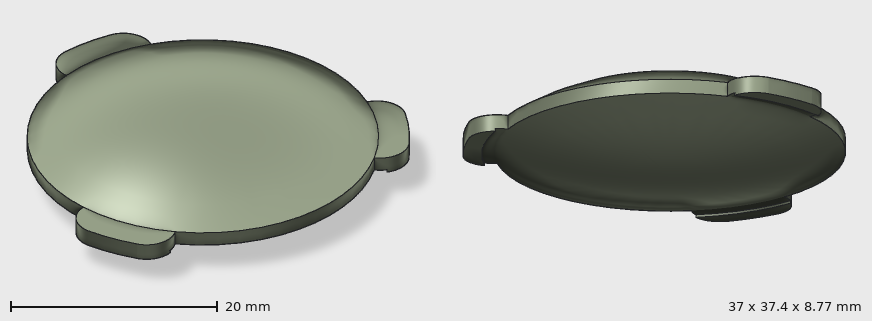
import cadquery as cq
import math

lens_radius = 17.0
rim_height = 1.42
upper_dome_height = 5.05
lower_dome_height = 2.3

tab_count = 3
tab_outer_radius = 20.0
tab_width = 10.1
tab_thickness = 1.7
tab_corner_radius = 2.8
relief_radius = 18.2
first_tab_angle = 60.5


def cap_point(height, radius_fraction):
    """Offset from the rim plane of a spherical cap at a fraction of the lens radius."""
    sphere_radius = (lens_radius**2 + height**2) / (2 * height)
    radius = radius_fraction * lens_radius
    return radius, math.sqrt(sphere_radius**2 - radius**2) - sphere_radius + height


def make_lens():
    """Revolve the half profile of the lens around Z."""
    upper_radius, upper_rise = cap_point(upper_dome_height, 0.5)
    lower_radius, lower_drop = cap_point(lower_dome_height, 0.5)
    profile = (
        cq.Workplane("XZ")
        .moveTo(0, upper_dome_height)
        .threePointArc((upper_radius, upper_rise), (lens_radius, 0))
        .lineTo(lens_radius, -rim_height)
        .threePointArc((lower_radius, -rim_height - lower_drop), (0, -rim_height - lower_dome_height))
        .close()
    )
    return profile.revolve(360, (0, 0, 0), (0, 1, 0))


def make_tab(angle):
    """Tab with an outer edge concentric with the lens and round ends that curve back to the rim."""
    center_y = tab_width / 2 - tab_corner_radius
    center_x = math.sqrt((tab_outer_radius - tab_corner_radius) ** 2 - center_y**2)
    corner_scale = tab_outer_radius / (tab_outer_radius - tab_corner_radius)
    outer_x = center_x * corner_scale
    outer_y = center_y * corner_scale
    corner_mid_offset = tab_corner_radius * math.sqrt(0.5)
    corner_mid_x = center_x + corner_mid_offset
    corner_mid_y = center_y + corner_mid_offset
    inner_x = center_x - tab_corner_radius
    tab = (
        cq.Workplane("XY")
        .moveTo(inner_x, -center_y)
        .threePointArc((corner_mid_x, -corner_mid_y), (outer_x, -outer_y))
        .threePointArc((tab_outer_radius, 0), (outer_x, outer_y))
        .threePointArc((corner_mid_x, corner_mid_y), (inner_x, center_y))
        .close()
        .extrude(-tab_thickness)
    )
    relief = (
        cq.Workplane("XY")
        .workplane(offset=-tab_thickness)
        .circle(relief_radius)
        .extrude(tab_thickness - rim_height)
    )
    return tab.cut(relief).rotate((0, 0, 0), (0, 0, 1), angle)


result = make_lens()
for index in range(tab_count):
    result = result.union(make_tab(first_tab_angle + index * 360 / tab_count))